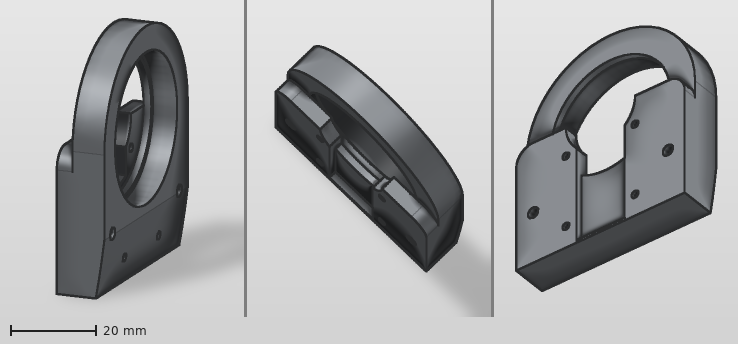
import cadquery as cq

width = 50.0
thickness = 12.2
plate_thickness = 4.0
outer_radius = width / 2
bore_center_z = 35.36

plate_corner_radius = 5.0
plate_notch_radius = 10.25

pocket_width = 14.3
pocket_depth = 2.0
pocket_bottom_z = 0.8
window_diameter = 32.0

lip_diameter = 35.25
seat_diameter = 37.25
lip_back_x = 6.0

relief_top_z = 14.5
relief_middle_z = 7.5
relief_middle_depth = 0.95
relief_bottom_depth = 2.2

small_hole_diameter = 2.0
small_hole_half_spacing = 10.25
small_hole_heights = (6.3, 27.0)
large_hole_diameter = 3.0
large_hole_half_spacing = 20.0
large_hole_z = 14.8


def cylinder_along_x(diameter, start_x, end_x, y, z):
    """Cylinder whose axis is parallel to X."""
    return (
        cq.Workplane("YZ", origin=(start_x, y, z))
        .circle(diameter / 2)
        .extrude(end_x - start_x)
    )


def block(start_x, end_x, block_width, bottom_z, top_z):
    """Box centered on Y between the given X and Z limits."""
    return (
        cq.Workplane("XY", origin=(start_x, 0, bottom_z))
        .box(end_x - start_x, block_width, top_z - bottom_z, centered=(False, True, False))
    )


def make_ring_body():
    """Arched body behind the plate, with the stepped bore."""
    lower = block(plate_thickness, thickness, width, 0, bore_center_z)
    arch = cylinder_along_x(width, plate_thickness, thickness, 0, bore_center_z)
    lip = cylinder_along_x(lip_diameter, plate_thickness, thickness, 0, bore_center_z)
    seat = cylinder_along_x(seat_diameter, lip_back_x, thickness, 0, bore_center_z)
    return lower.union(arch).cut(lip).cut(seat)


def make_plate():
    """Front plate with rounded top corners, round notch and central pocket."""
    plate = block(0, plate_thickness, width, 0, bore_center_z)
    plate = plate.edges("|X and >Z").fillet(plate_corner_radius)
    notch = cylinder_along_x(2 * plate_notch_radius, 0, plate_thickness, 0, bore_center_z)
    pocket = block(0, pocket_depth, pocket_width, pocket_bottom_z, bore_center_z)
    window = cylinder_along_x(window_diameter, pocket_depth, plate_thickness, 0, bore_center_z)
    channel = block(0, plate_thickness, pocket_width, pocket_bottom_z, bore_center_z)
    return plate.cut(notch).cut(pocket).cut(window.intersect(channel))


def make_back_relief():
    """Material removed along the gently curved lower back face."""
    return (
        cq.Workplane("XZ", origin=(0, outer_radius, 0))
        .moveTo(thickness, relief_top_z)
        .threePointArc(
            (thickness - relief_middle_depth, relief_middle_z),
            (thickness - relief_bottom_depth, 0),
        )
        .lineTo(thickness, 0)
        .close()
        .extrude(width)
    )


def make_holes():
    """Four small and two large holes through the full thickness."""
    holes = cq.Workplane("YZ")
    for side in (-1, 1):
        large_y = side * large_hole_half_spacing
        small_y = side * small_hole_half_spacing
        holes = holes.union(cylinder_along_x(large_hole_diameter, 0, thickness, large_y, large_hole_z))
        for hole_z in small_hole_heights:
            holes = holes.union(cylinder_along_x(small_hole_diameter, 0, thickness, small_y, hole_z))
    return holes


result = make_ring_body().union(make_plate()).cut(make_back_relief()).cut(make_holes())